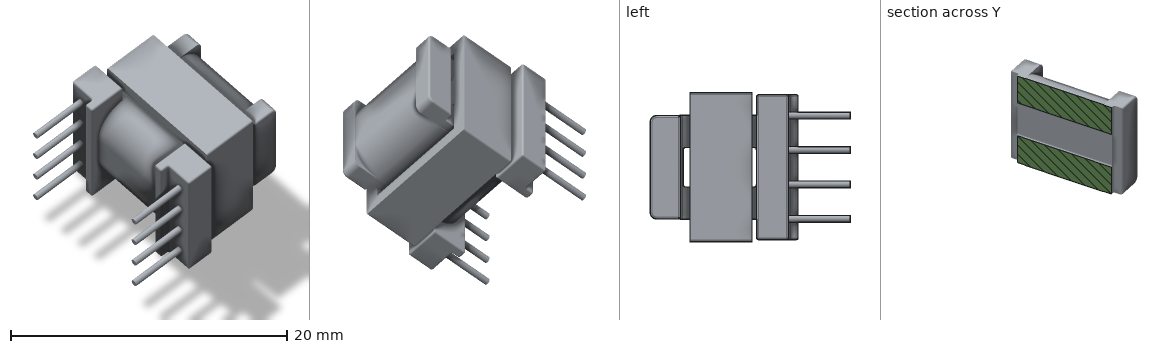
import cadquery as cq


WINDING_LENGTH = 6.67
WINDING_DEPTH = 10.03
WINDING_HEIGHT = 7.58
WINDING_RADIUS = 2.52
OPENING_DEPTH = 5.28
OPENING_HEIGHT = 2.84
OPENING_RADIUS = 0.15

FLANGE_INNER_X = WINDING_LENGTH / 2
FLANGE_THICKNESS = 0.68
FLANGE_OUTER_X = FLANGE_INNER_X + FLANGE_THICKNESS
FLANGE_HEIGHT = 7.51
EDGE_RADIUS = 0.15

BACK_Y = 5.05
REAR_BLOCK_DEPTH = 2.19
REAR_BLOCK_OUTER_X = 4.75
REAR_BLOCK_Y = BACK_Y - REAR_BLOCK_DEPTH
REAR_CORNER_RADIUS = 0.5

PIN_BLOCK_OUTER_X = 6.25
PIN_BLOCK_HEIGHT = 10.5
PIN_BLOCK_BACK_Y = -2.67
PIN_BLOCK_DEPTH = 2.29
PIN_BLOCK_FRONT_Y = PIN_BLOCK_BACK_Y - PIN_BLOCK_DEPTH
LIP_OUTER_X = 4.06
LIP_LENGTH = 0.71
LIP_FRONT_Y = PIN_BLOCK_FRONT_Y - LIP_LENGTH

OVERALL_DEPTH = 14.5
PIN_TIP_Y = BACK_Y - OVERALL_DEPTH
PIN_DIAMETER = 0.51
PIN_X = 5.26
PIN_PITCH = 2.5
PINS_PER_ROW = 4

CORE_WIDTH = 10.67
CORE_DEPTH = 4.5
CORE_HEIGHT = 10.82
CORE_WALL = 1.12
CORE_CENTRE_Y = -0.09
CORE_EDGE_RADIUS = 0.15


def centred_box(width, depth, height):
    return cq.Workplane("XY").box(width, depth, height)


def make_core():
    frame = centred_box(CORE_WIDTH, CORE_DEPTH, CORE_HEIGHT).edges("|Y").fillet(CORE_EDGE_RADIUS)
    window = centred_box(CORE_WIDTH - 2 * CORE_WALL, CORE_DEPTH, CORE_HEIGHT - 2 * CORE_WALL)
    centre_leg = centred_box(CORE_WIDTH - 2 * CORE_WALL, CORE_DEPTH, OPENING_HEIGHT)
    return frame.cut(window).union(centre_leg).translate((0, CORE_CENTRE_Y, 0))


def make_winding():
    return centred_box(WINDING_LENGTH, WINDING_DEPTH, WINDING_HEIGHT).edges("|X").fillet(WINDING_RADIUS)


def make_flange():
    """Flange at the +X end, with its thickened rear end."""
    outline = [
        (FLANGE_INNER_X, PIN_BLOCK_FRONT_Y),
        (FLANGE_OUTER_X, PIN_BLOCK_FRONT_Y),
        (FLANGE_OUTER_X, REAR_BLOCK_Y),
        (REAR_BLOCK_OUTER_X, REAR_BLOCK_Y),
        (REAR_BLOCK_OUTER_X, BACK_Y),
        (FLANGE_INNER_X, BACK_Y),
    ]
    flange = cq.Workplane("XY").polyline(outline).close().extrude(FLANGE_HEIGHT / 2, both=True)
    step_corner = cq.selectors.NearestToPointSelector((FLANGE_OUTER_X, REAR_BLOCK_Y, 0))
    flange = flange.edges("|X and >Y").fillet(REAR_CORNER_RADIUS)
    flange = flange.edges(step_corner).fillet(EDGE_RADIUS)
    return flange.faces(">X").edges().fillet(EDGE_RADIUS)


def make_pin_block():
    """Pin block at the +X end, rounded except on the upright edge at the back of its inner side."""
    outline = [
        (FLANGE_INNER_X, PIN_BLOCK_BACK_Y),
        (PIN_BLOCK_OUTER_X, PIN_BLOCK_BACK_Y),
        (PIN_BLOCK_OUTER_X, PIN_BLOCK_FRONT_Y),
        (LIP_OUTER_X, PIN_BLOCK_FRONT_Y),
        (LIP_OUTER_X, LIP_FRONT_Y),
        (FLANGE_INNER_X, LIP_FRONT_Y),
    ]
    block = cq.Workplane("XY").polyline(outline).close().extrude(PIN_BLOCK_HEIGHT / 2, both=True)
    sharp_edge = cq.selectors.NearestToPointSelector((FLANGE_INNER_X, PIN_BLOCK_BACK_Y, 0))
    rounded_edges = cq.selectors.StringSyntaxSelector("|Z") - sharp_edge
    block = block.edges(rounded_edges).fillet(EDGE_RADIUS)
    return block.faces("<Z or >Z").edges().fillet(EDGE_RADIUS)


def make_pin(z):
    """Pin at the +X end, standing on the front face of its block."""
    face = cq.Workplane("XZ", origin=(PIN_X, PIN_BLOCK_FRONT_Y, z))
    return face.circle(PIN_DIAMETER / 2).extrude(PIN_BLOCK_FRONT_Y - PIN_TIP_Y)


def make_opening():
    """Opening along X for the centre leg of the core, through the winding and both flanges."""
    opening = centred_box(2 * FLANGE_OUTER_X, OPENING_DEPTH, OPENING_HEIGHT)
    return opening.edges("|X").fillet(OPENING_RADIUS)


def make_bobbin():
    end = make_flange().union(make_pin_block())
    for row in range(PINS_PER_ROW):
        end = end.union(make_pin((row - (PINS_PER_ROW - 1) / 2) * PIN_PITCH))
    return make_winding().union(end).union(end.mirror("YZ")).cut(make_opening())


core = make_core()
bobbin = make_bobbin()
result = cq.Compound.makeCompound([core.val(), bobbin.val()])